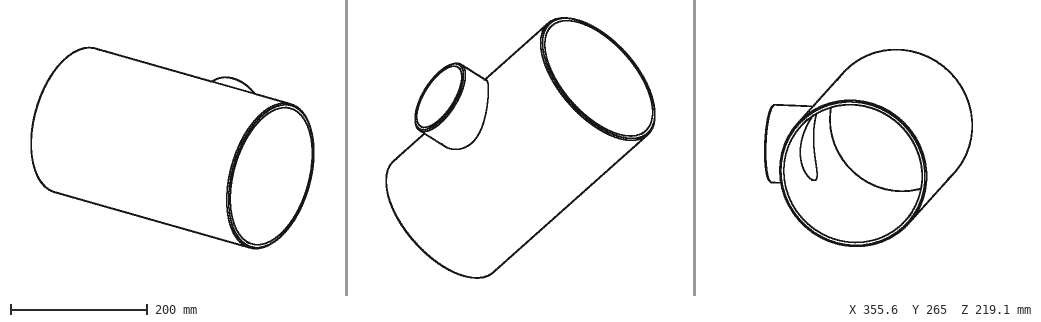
import cadquery as cq

INCH = 25.4

run_diameter = 8.625 * INCH
run_length = 14.0 * INCH
branch_diameter = 4.5 * INCH
branch_reach = 6.12 * INCH
run_wall = 0.25 * INCH
branch_wall = 0.237 * INCH
end_chamfer = 2.0

run_start = -run_length / 2


def run_cylinder(diameter):
    """Cylinder on the X axis over the full length of the run."""
    return cq.Workplane("YZ", origin=(run_start, 0, 0)).circle(diameter / 2).extrude(run_length)


def branch_cylinder(diameter):
    """Cylinder on the Y axis from the run axis to the branch end."""
    return cq.Workplane("XZ").circle(diameter / 2).extrude(-branch_reach)


run_body = run_cylinder(run_diameter).edges("%CIRCLE").chamfer(end_chamfer)
branch_body = branch_cylinder(branch_diameter).faces(">Y").edges().chamfer(end_chamfer)

run_bore = run_cylinder(run_diameter - 2 * run_wall)
branch_bore = branch_cylinder(branch_diameter - 2 * branch_wall)

result = run_body.union(branch_body).cut(run_bore).cut(branch_bore)